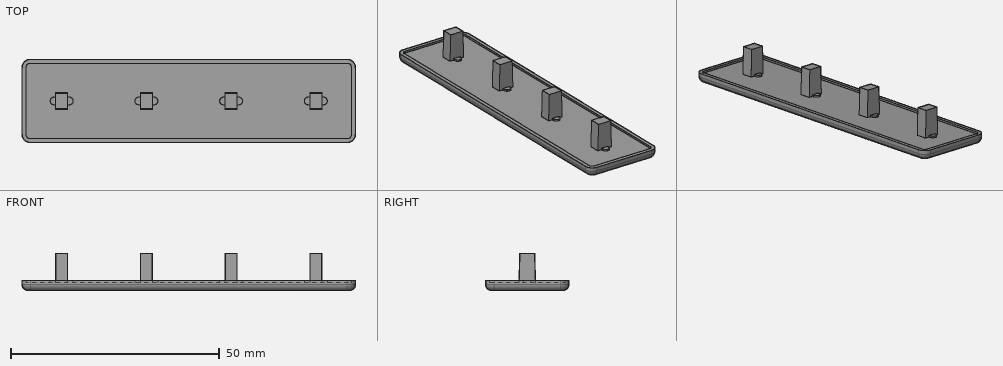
import cadquery as cq

length = 80.0
width = 20.0
total_height = 9.0
plate_height = 2.5
corner_radius = 2.0
bottom_radius = 1.5
rim_width = 1.0
pocket_corner_radius = 0.8
pocket_depth = 0.5
floor_height = plate_height - pocket_depth

post_count = 4
post_pitch = 20.3
post_thickness = 2.9
post_base_width = 4.0
post_top_width = 3.6

pad_length = 5.5
pad_width = 1.8
pad_height = 0.4


def make_plate():
    """Rounded plate with a shallow pocket inside its rim."""
    plate = (
        cq.Workplane("XY")
        .rect(length, width)
        .extrude(plate_height)
        .edges("|Z")
        .fillet(corner_radius)
        .faces("<Z")
        .edges()
        .fillet(bottom_radius)
    )
    pocket = (
        cq.Workplane("XY")
        .workplane(offset=floor_height)
        .rect(length - 2 * rim_width, width - 2 * rim_width)
        .extrude(pocket_depth)
        .edges("|Z")
        .fillet(pocket_corner_radius)
    )
    return plate.cut(pocket)


def make_post():
    """Post of constant X thickness, narrowing in Y towards its top, with its pad."""
    half_base = post_base_width / 2
    half_top = post_top_width / 2
    post = (
        cq.Workplane("YZ")
        .polyline([
            (-half_base, floor_height),
            (half_base, floor_height),
            (half_top, total_height),
            (-half_top, total_height),
        ])
        .close()
        .extrude(post_thickness / 2, both=True)
    )
    pad = (
        cq.Workplane("XY")
        .workplane(offset=floor_height)
        .slot2D(pad_length, pad_width)
        .extrude(pad_height)
    )
    return post.union(pad)


result = make_plate()
for index in range(post_count):
    post_x = (index - (post_count - 1) / 2) * post_pitch
    result = result.union(make_post().translate((post_x, 0, 0)))